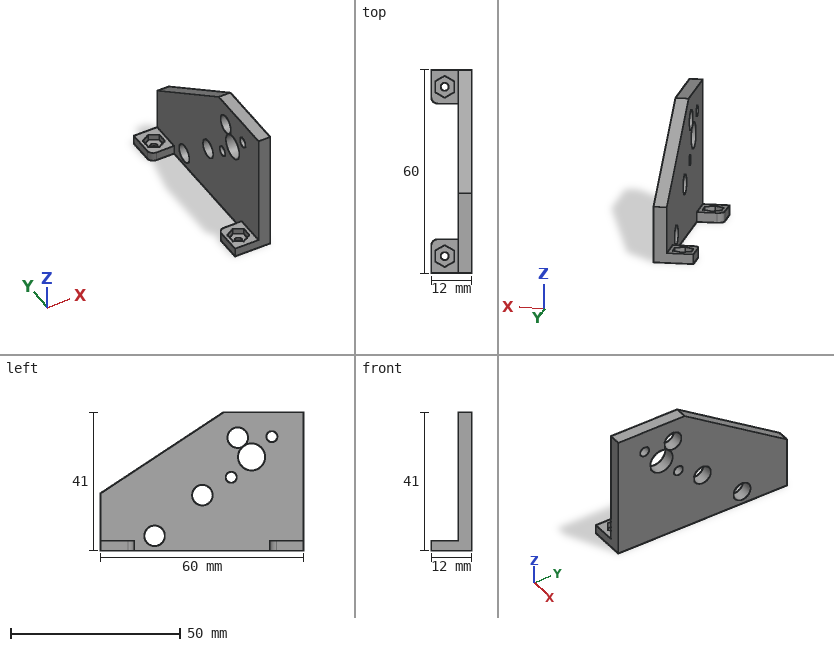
import cadquery as cq

width = 12.0
length = 60.0
height = 41.0
plate_thickness = width / 3
plate_inner_x = width - plate_thickness
low_end_height = 17.0
slope_start_y = 23.6

foot_length = 10.0
foot_thickness = 3.0
foot_corner_radius = 2.0
foot_hole_x = plate_inner_x / 2
foot_hole_diameter = 2.3
nut_across_corners = 6.5
nut_pocket_depth = 2.0

large_hole_diameter = 7.9
large_hole_center = (15.35, 27.7)
medium_hole_diameter = 6.0
medium_hole_centers = [(44.0, 4.45), (29.9, 16.45), (19.45, 33.4)]
screw_hole_diameter = 3.2
screw_offset = 6.0


def make_plate():
    """Upright plate with one sloping top corner."""
    return (
        cq.Workplane("YZ", origin=(plate_inner_x, 0, 0))
        .moveTo(0, 0)
        .lineTo(length, 0)
        .lineTo(length, low_end_height)
        .lineTo(slope_start_y, height)
        .lineTo(0, height)
        .close()
        .extrude(plate_thickness)
    )


def plate_holes(diameter, centers):
    """Cylinders that cut through the plate along X."""
    return (
        cq.Workplane("YZ", origin=(plate_inner_x, 0, 0))
        .pushPoints(centers)
        .circle(diameter / 2)
        .extrude(plate_thickness)
    )


def make_foot(start_y, rounded_edge):
    """Foot with a screw hole, a hexagonal nut pocket and one rounded corner."""
    foot = (
        cq.Workplane("XY")
        .box(width, foot_length, foot_thickness, centered=False)
        .translate((0, start_y, 0))
        .edges(rounded_edge)
        .fillet(foot_corner_radius)
    )
    hole_y = start_y + foot_length / 2
    hole = (
        cq.Workplane("XY", origin=(foot_hole_x, hole_y, 0))
        .circle(foot_hole_diameter / 2)
        .extrude(foot_thickness)
    )
    nut_pocket = (
        cq.Workplane("XY", origin=(foot_hole_x, hole_y, foot_thickness))
        .transformed(rotate=(0, 0, 90))
        .polygon(6, nut_across_corners)
        .extrude(-nut_pocket_depth)
    )
    return foot.cut(hole).cut(nut_pocket)


large_y, large_z = large_hole_center
screw_hole_centers = [
    (large_y - side * screw_offset, large_z + side * screw_offset) for side in (1, -1)
]

plate = make_plate()
plate = plate.cut(plate_holes(large_hole_diameter, [large_hole_center]))
plate = plate.cut(plate_holes(medium_hole_diameter, medium_hole_centers))
plate = plate.cut(plate_holes(screw_hole_diameter, screw_hole_centers))

near_foot = make_foot(0, ">Y and <X and |Z")
far_foot = make_foot(length - foot_length, "|Z and <X and <Y")

result = plate.union(near_foot).union(far_foot)